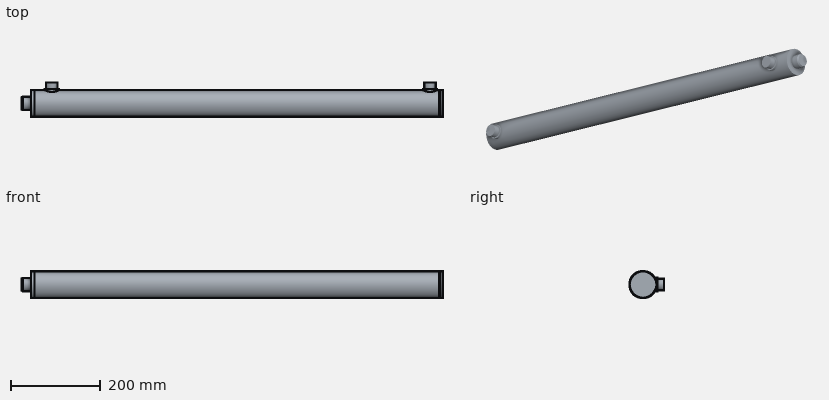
import cadquery as cq

total_length = 940.0
body_diameter = 60.0
body_radius = body_diameter / 2

stub_diameter = 30.0
stub_length = 21.0
stub_chamfer = 2.0
stub_chamfer_length = 4.0

left_cap_thickness = 8.0
right_cap_thickness = 6.0
spacer_thickness = 3.0

port_diameter = 26.0
port_tip_y = 47.0
collar_diameter = 32.0
collar_top_y = 32.0
left_port_x = 68.0
right_port_x = total_length - 29.0
port_positions = (left_port_x, right_port_x)

left_cap_start = stub_length
barrel_start = left_cap_start + left_cap_thickness
right_cap_start = total_length - right_cap_thickness
spacer_start = right_cap_start - spacer_thickness


def axial_disc(start_x, end_x):
    """Full-diameter cylinder between two positions along X."""
    return cq.Workplane("YZ", origin=(start_x, 0, 0)).circle(body_radius).extrude(end_x - start_x)


def side_cylinder(x, diameter, tip_y):
    """Cylinder from the barrel axis to tip_y, pointing to +Y."""
    return cq.Workplane("XZ", origin=(x, 0, 0)).circle(diameter / 2).extrude(-tip_y)


def make_stub():
    """Round stub with a chamfered tip."""
    stub_radius = stub_diameter / 2
    return (
        cq.Workplane("XY")
        .lineTo(0, stub_radius - stub_chamfer)
        .lineTo(stub_chamfer_length, stub_radius)
        .lineTo(stub_length, stub_radius)
        .lineTo(stub_length, 0)
        .close()
        .revolve(360, (0, 0, 0), (1, 0, 0))
    )


def make_port(x):
    """Port whose inner end is saddled onto the barrel surface."""
    return side_cylinder(x, port_diameter, port_tip_y).cut(barrel)


def make_collar(x):
    """Ring around a port, saddled onto the barrel surface."""
    blank = side_cylinder(x, collar_diameter, collar_top_y)
    bore = side_cylinder(x, port_diameter, collar_top_y)
    return blank.cut(bore).cut(barrel)


stub = make_stub()
left_cap = axial_disc(left_cap_start, barrel_start)
barrel = axial_disc(barrel_start, spacer_start)
spacer = axial_disc(spacer_start, right_cap_start)
right_cap = axial_disc(right_cap_start, total_length)
ports = [make_port(x) for x in port_positions]
collars = [make_collar(x) for x in port_positions]

result = cq.Compound.makeCompound(
    [
        stub.val(),
        left_cap.val(),
        barrel.val(),
        spacer.val(),
        right_cap.val(),
        *[solid for port in ports for solid in port.solids().vals()],
        *[solid for collar in collars for solid in collar.solids().vals()],
    ]
)